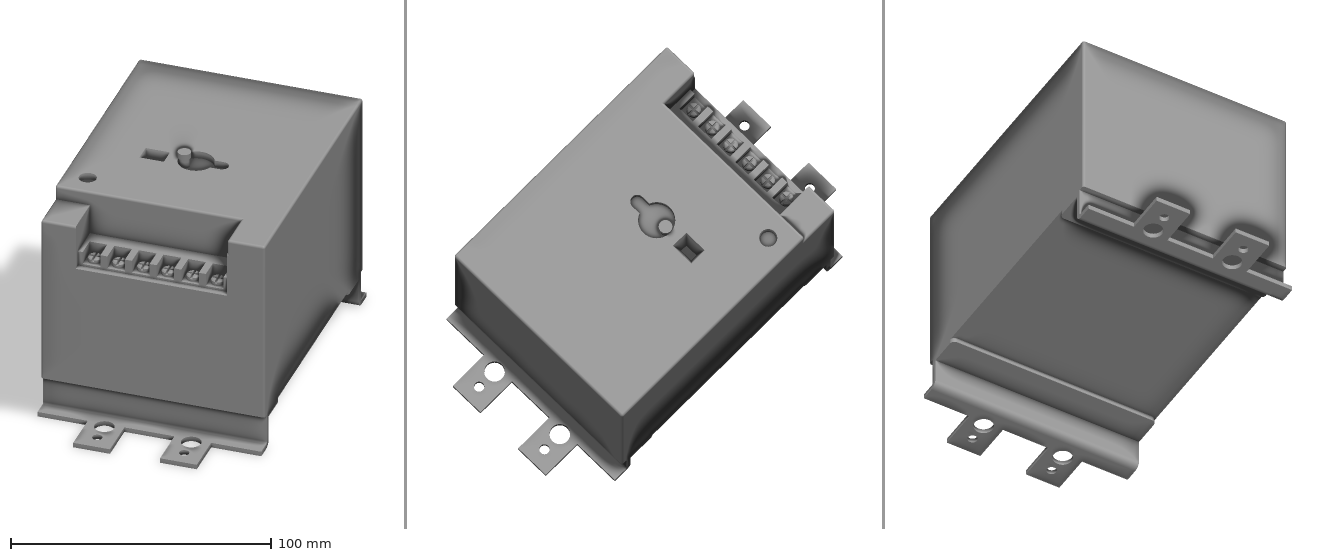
import cadquery as cq

HOUSING_X = 90.8
HOUSING_Y = 116.5
HOUSING_TOP_Z = 91.6
EDGE_RADIUS = 1.0

SHEET = 2.0
BRACKET_HEIGHT = 15.0
BRACKET_REACH_Y = 79.4
WEB_OUTER_Y = 55.6
FOOT_END_Y = 40.5
FOOT_CORNER_RADIUS = 2.0
BEND_INNER_RADIUS = 0.8
FLANGE_EDGE_Y = 62.2
TAB_WIDTH = 15.0
TAB_SPACING_X = 35.3
LARGE_HOLE_DIAMETER = 8.0
LARGE_HOLE_Y = 64.2
SMALL_HOLE_DIAMETER = 4.0
SMALL_HOLE_Y = 72.5

STEP_RIGHT_X = 30.2
STEP_BACK_Y = -41.5
STEP_DEPTH = 5.9

RECESS_LEFT_X = -31.3
STRIP_TOP_DEPTH = 18.5
STRIP_FRONT_Y = -55.6
LEDGE_DEPTH = 24.8
TERMINAL_COUNT = 6
TERMINAL_PITCH = 10.0
TERMINAL_MIDDLE_X = -0.8
TERMINAL_WIDTH = 7.1
TERMINAL_BACK_Y = -47.3
TERMINAL_FLOOR_RISE = 1.0

SCREW_Y = -51.5
SCREW_DIAMETER = 5.5
SCREW_HEIGHT = 2.0
SCREW_CHAMFER = 0.5
SCREW_SLOT_WIDTH = 1.0
SCREW_SLOT_DEPTH = 1.1

WELL_X = -35.5
WELL_Y = -31.6
WELL_TOP_DIAMETER = 7.0
WELL_FLOOR_DIAMETER = 6.0
WELL_DEPTH = 2.5

WINDOW_X = -16.7
WINDOW_Y = -7.3
WINDOW_LENGTH = 9.8
WINDOW_WIDTH = 7.3
WINDOW_INSET = 2.2
WINDOW_DEPTH = 8.0

KEYHOLE_X = -0.2
KEYHOLE_Y = -6.5
KEYHOLE_DIAMETER = 14.3
KEYHOLE_SLOT_WIDTH = 5.4
KEYHOLE_SLOT_END_X = 13.0
KEYHOLE_DEPTH = 3.0

PIN_X = -5.0
PIN_TOP_Z = 95.0
PIN_HEAD_DIAMETER = 5.2
PIN_HEAD_HEIGHT = 2.4
PIN_NECK_DIAMETER = 4.1

HOUSING_FRONT_Y = -HOUSING_Y / 2
HOUSING_LEFT_X = -HOUSING_X / 2
STEP_FLOOR_Z = HOUSING_TOP_Z - STEP_DEPTH
STRIP_TOP_Z = HOUSING_TOP_Z - STRIP_TOP_DEPTH
LEDGE_Z = HOUSING_TOP_Z - LEDGE_DEPTH
TERMINAL_FLOOR_Z = LEDGE_Z + TERMINAL_FLOOR_RISE
KEYHOLE_FLOOR_Z = HOUSING_TOP_Z - KEYHOLE_DEPTH
TERMINAL_XS = [
    TERMINAL_MIDDLE_X + (i - (TERMINAL_COUNT - 1) / 2) * TERMINAL_PITCH
    for i in range(TERMINAL_COUNT)
]


def box_between(x0, x1, y0, y1, z0, z1):
    """Box given by its two limits along each axis."""
    return cq.Workplane("XY").box(x1 - x0, y1 - y0, z1 - z0, centered=False).translate((x0, y0, z0))


def cylinder(x, y, z, diameter, height):
    """Upright cylinder standing on height z."""
    return cq.Workplane("XY", origin=(x, y, z)).circle(diameter / 2).extrude(height)


def make_case():
    """Block with the front step, all outer edges rounded except those of the underside."""
    case = box_between(
        HOUSING_LEFT_X, -HOUSING_LEFT_X, HOUSING_FRONT_Y, -HOUSING_FRONT_Y, BRACKET_HEIGHT, HOUSING_TOP_Z
    )
    step = box_between(
        HOUSING_LEFT_X, STEP_RIGHT_X, HOUSING_FRONT_Y, STEP_BACK_Y, STEP_FLOOR_Z, HOUSING_TOP_Z
    )
    case = case.cut(step)

    step_corner = cq.selectors.BoxSelector(
        (STEP_RIGHT_X - EDGE_RADIUS, STEP_BACK_Y - EDGE_RADIUS, BRACKET_HEIGHT),
        (STEP_RIGHT_X + EDGE_RADIUS, STEP_BACK_Y + EDGE_RADIUS, HOUSING_TOP_Z - EDGE_RADIUS),
    )
    upright_edges = cq.selectors.SubtractSelector(cq.StringSyntaxSelector("|Z"), step_corner)
    step_floor_outer_edges = case.faces(cq.selectors.BoxSelector(
        (HOUSING_LEFT_X, HOUSING_FRONT_Y, STEP_FLOOR_Z - EDGE_RADIUS),
        (STEP_RIGHT_X, STEP_BACK_Y, STEP_FLOOR_Z + EDGE_RADIUS),
    )).edges("<X or <Y")
    rounded = case.faces(">Z").edges().add(case.edges(upright_edges)).add(step_floor_outer_edges)
    return rounded.fillet(EDGE_RADIUS)


def make_terminal_screw(x):
    """Cross-slotted screw head on a terminal floor."""
    head = cylinder(x, SCREW_Y, TERMINAL_FLOOR_Z, SCREW_DIAMETER, SCREW_HEIGHT)
    head = head.faces(">Z").chamfer(SCREW_CHAMFER)
    cross = (
        cq.Workplane("XY", origin=(x, SCREW_Y, TERMINAL_FLOOR_Z + SCREW_HEIGHT))
        .rect(SCREW_SLOT_WIDTH, SCREW_DIAMETER)
        .extrude(-SCREW_SLOT_DEPTH)
    )
    cross = cross.union(cross.rotate((x, SCREW_Y, 0), (x, SCREW_Y, 1), 90))
    return head.cut(cross)


def add_terminals(case):
    """Cut the recess down to the terminal strip, then cut each terminal and add its screw."""
    above_strip = box_between(
        RECESS_LEFT_X, STEP_RIGHT_X, HOUSING_FRONT_Y, STEP_BACK_Y, STRIP_TOP_Z, STEP_FLOOR_Z
    )
    above_ledge = box_between(
        RECESS_LEFT_X, STEP_RIGHT_X, HOUSING_FRONT_Y, STRIP_FRONT_Y, LEDGE_Z, STRIP_TOP_Z
    )
    case = case.cut(above_strip).cut(above_ledge)
    for x in TERMINAL_XS:
        bay = box_between(
            x - TERMINAL_WIDTH / 2, x + TERMINAL_WIDTH / 2,
            STRIP_FRONT_Y, TERMINAL_BACK_Y, TERMINAL_FLOOR_Z, STRIP_TOP_Z,
        )
        case = case.cut(bay).union(make_terminal_screw(x))
    return case


def make_well():
    """Shallow round recess narrowing towards its floor."""
    return (
        cq.Workplane("XY", origin=(WELL_X, WELL_Y, HOUSING_TOP_Z))
        .circle(WELL_TOP_DIAMETER / 2)
        .workplane(offset=-WELL_DEPTH)
        .circle(WELL_FLOOR_DIAMETER / 2)
        .loft()
    )


def make_window():
    """Rectangular recess with four sloping walls."""
    return (
        cq.Workplane("XY", origin=(WINDOW_X, WINDOW_Y, HOUSING_TOP_Z))
        .rect(WINDOW_LENGTH, WINDOW_WIDTH)
        .workplane(offset=-WINDOW_DEPTH)
        .rect(WINDOW_LENGTH - 2 * WINDOW_INSET, WINDOW_WIDTH - 2 * WINDOW_INSET)
        .loft()
    )


def make_keyhole():
    """Round recess with a round-ended slot leading out of it along +X."""
    slot_end_center_x = KEYHOLE_SLOT_END_X - KEYHOLE_SLOT_WIDTH / 2
    round_part = cylinder(KEYHOLE_X, KEYHOLE_Y, KEYHOLE_FLOOR_Z, KEYHOLE_DIAMETER, KEYHOLE_DEPTH)
    slot = box_between(
        KEYHOLE_X, slot_end_center_x,
        KEYHOLE_Y - KEYHOLE_SLOT_WIDTH / 2, KEYHOLE_Y + KEYHOLE_SLOT_WIDTH / 2,
        KEYHOLE_FLOOR_Z, HOUSING_TOP_Z,
    )
    slot_end = cylinder(slot_end_center_x, KEYHOLE_Y, KEYHOLE_FLOOR_Z, KEYHOLE_SLOT_WIDTH, KEYHOLE_DEPTH)
    return round_part.union(slot).union(slot_end)


def make_bracket():
    """Z-shaped bracket at the +Y end: foot under the case, upright web, flange with two drilled tabs."""
    web_inner_y = WEB_OUTER_Y - SHEET
    bend_outer_radius = BEND_INNER_RADIUS + SHEET
    bracket = (
        cq.Workplane("YZ", origin=(HOUSING_LEFT_X, 0, 0))
        .moveTo(FOOT_END_Y, BRACKET_HEIGHT)
        .lineTo(WEB_OUTER_Y, BRACKET_HEIGHT)
        .lineTo(WEB_OUTER_Y, bend_outer_radius)
        .radiusArc((WEB_OUTER_Y + BEND_INNER_RADIUS, SHEET), -BEND_INNER_RADIUS)
        .lineTo(FLANGE_EDGE_Y, SHEET)
        .lineTo(FLANGE_EDGE_Y, 0)
        .lineTo(WEB_OUTER_Y + BEND_INNER_RADIUS, 0)
        .radiusArc((web_inner_y, bend_outer_radius), bend_outer_radius)
        .lineTo(web_inner_y, BRACKET_HEIGHT - SHEET)
        .lineTo(FOOT_END_Y, BRACKET_HEIGHT - SHEET)
        .close()
        .extrude(HOUSING_X)
    )
    bracket = bracket.faces("<Y").edges("|Z").fillet(FOOT_CORNER_RADIUS)
    for x in (-TAB_SPACING_X / 2, TAB_SPACING_X / 2):
        tab = box_between(
            x - TAB_WIDTH / 2, x + TAB_WIDTH / 2, FLANGE_EDGE_Y, BRACKET_REACH_Y, 0, SHEET
        )
        large_hole = cylinder(x, LARGE_HOLE_Y, 0, LARGE_HOLE_DIAMETER, SHEET)
        small_hole = cylinder(x, SMALL_HOLE_Y, 0, SMALL_HOLE_DIAMETER, SHEET)
        bracket = bracket.union(tab).cut(large_hole).cut(small_hole)
    return bracket


def make_housing():
    """Case with its recesses and terminals, carried on a bracket at each end."""
    housing = add_terminals(make_case())
    for recess in (make_well(), make_window(), make_keyhole()):
        housing = housing.cut(recess)
    bracket = make_bracket()
    return housing.union(bracket).union(bracket.mirror("XZ"))


def make_pin():
    """Mushroom-headed pin standing on the keyhole floor."""
    head_bottom_z = PIN_TOP_Z - PIN_HEAD_HEIGHT
    neck = cylinder(PIN_X, KEYHOLE_Y, KEYHOLE_FLOOR_Z, PIN_NECK_DIAMETER, head_bottom_z - KEYHOLE_FLOOR_Z)
    head = cylinder(PIN_X, KEYHOLE_Y, head_bottom_z, PIN_HEAD_DIAMETER, PIN_HEAD_HEIGHT)
    return neck.union(head)


housing = make_housing()
pin = make_pin()

result = cq.Compound.makeCompound([housing.val(), pin.val()])